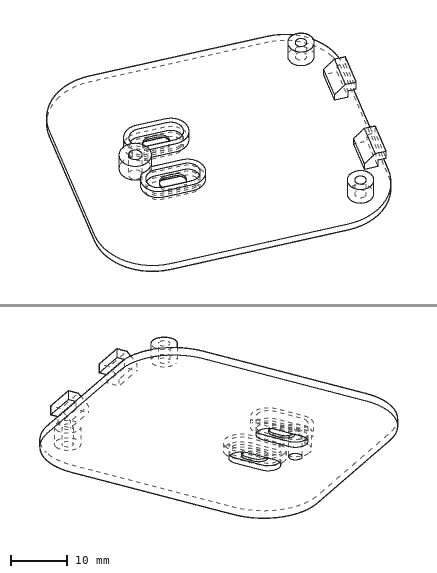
import cadquery as cq

plate_width = 48.4
plate_length = 54.4
plate_thickness = 1.5
corner_radius = 10.75
total_height = 5.0
post_height = total_height - plate_thickness

rear_post_diameter = 4.7
rear_post_bore = 2.0
rear_post_x = 17.75
rear_post_y = 20.7
front_post_diameter = 5.7
front_post_bore = 2.4
front_post_y = -15.45

slot_x = 5.0
slot_y = -10.0
rim_width = 6.4
rim_length = 11.8
rim_wall = 1.0
rim_inner_length = rim_length - 2 * rim_wall
rim_inner_width = rim_width - 2 * rim_wall
left_rim_height = 2.05
right_rim_height = 1.5
slot_width = 3.4
slot_length = 4.9
slot_floor = 0.5

hook_width = 6.55
hook_center_x = 8.9
hook_height = 3.4
hook_depth = 4.0
hook_top_depth = 2.0
hook_overhang = 1.5
hook_underside = 1.6
hook_front_height = hook_height - (hook_depth - hook_top_depth)


def plate_top():
    return cq.Workplane("XY").workplane(offset=plate_thickness)


def post(x, y, diameter):
    return plate_top().center(x, y).circle(diameter / 2).extrude(post_height)


def rim(x, height):
    """Raised oblong wall, open in the middle."""
    outer = plate_top().center(x, slot_y).slot2D(rim_length, rim_width, 90).extrude(height)
    inner = plate_top().center(x, slot_y).slot2D(rim_inner_length, rim_inner_width, 90).extrude(height)
    return outer.cut(inner)


def slot_cutter(x):
    """Slot through the plate, widened from below to leave a thin floor under the rim."""
    base = cq.Workplane("XY").center(x, slot_y)
    slot = base.slot2D(slot_length, slot_width, 90).extrude(plate_thickness)
    recess = base.slot2D(rim_inner_length, rim_inner_width, 90).extrude(plate_thickness - slot_floor)
    return slot.union(recess)


def hook(center_x):
    """Stem with a lip reaching back to the rear edge of the plate."""
    rear = plate_length / 2
    front = rear - hook_depth
    stem_back = rear - hook_overhang
    profile = [
        (front, 0),
        (front, hook_front_height),
        (rear - hook_top_depth, hook_height),
        (rear, hook_height),
        (rear, hook_underside),
        (stem_back, hook_underside),
        (stem_back, 0),
    ]
    return (
        cq.Workplane("YZ", origin=(center_x - hook_width / 2, 0, plate_thickness))
        .polyline(profile)
        .close()
        .extrude(hook_width)
    )


result = (
    cq.Workplane("XY")
    .rect(plate_width, plate_length)
    .extrude(plate_thickness)
    .edges("|Z")
    .fillet(corner_radius)
)

result = result.union(rim(-slot_x, left_rim_height))
result = result.union(rim(slot_x, right_rim_height))
result = result.union(post(0, front_post_y, front_post_diameter))
for side in (-1, 1):
    result = result.union(post(side * rear_post_x, rear_post_y, rear_post_diameter))
    result = result.union(hook(side * hook_center_x))

for side in (-1, 1):
    result = result.cut(slot_cutter(side * slot_x))
    bore = plate_top().center(side * rear_post_x, rear_post_y)
    result = result.cut(bore.circle(rear_post_bore / 2).extrude(post_height))

front_bore = cq.Workplane("XY").center(0, front_post_y)
result = result.cut(front_bore.circle(front_post_bore / 2).extrude(total_height))